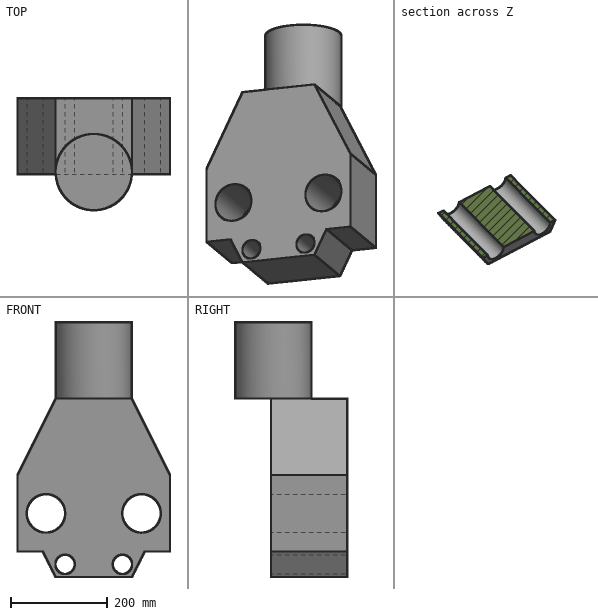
import cadquery as cq

module = 158.75
total_depth = 233.28

plate_width = 2 * module
plate_thickness = module
straight_height = module
taper_height = module
top_width = module

tail_height = module / 3
tail_root_width = plate_width * 2 / 3
tail_tip_width = module

post_diameter = module
post_height = module
post_overhang = total_depth - plate_thickness
post_center_y = post_diameter / 2 - post_overhang

large_hole_diameter = module / 2
large_hole_spacing = plate_width * 5 / 8
small_hole_diameter = module / 4
small_hole_spacing = plate_width * 3 / 8

shoulder_z = tail_height
taper_start_z = shoulder_z + straight_height
plate_top_z = taper_start_z + taper_height
large_hole_z = shoulder_z + straight_height / 2
small_hole_z = tail_height / 2


def front_plane():
    """XZ workplane on the plate's front face, Y = 0, with its normal toward -Y."""
    return cq.Workplane("XZ")


def make_plate():
    """Symmetric plate profile, extruded back from Y = 0."""
    right_side = [
        (tail_tip_width / 2, 0),
        (tail_root_width / 2, shoulder_z),
        (plate_width / 2, shoulder_z),
        (plate_width / 2, taper_start_z),
        (top_width / 2, plate_top_z),
    ]
    left_side = [(-x, z) for x, z in reversed(right_side)]
    return front_plane().polyline(right_side + left_side).close().extrude(-plate_thickness)


def make_post():
    """Round post standing on the plate's top face and overhanging its front."""
    return (
        cq.Workplane("XY", origin=(0, post_center_y, plate_top_z))
        .circle(post_diameter / 2)
        .extrude(post_height)
    )


def make_hole_pair(diameter, spacing, z):
    """Two cutters through the plate thickness, mirrored about X = 0."""
    return (
        front_plane()
        .pushPoints([(-spacing / 2, z), (spacing / 2, z)])
        .circle(diameter / 2)
        .extrude(-plate_thickness)
    )


result = (
    make_plate()
    .cut(make_hole_pair(large_hole_diameter, large_hole_spacing, large_hole_z))
    .cut(make_hole_pair(small_hole_diameter, small_hole_spacing, small_hole_z))
    .union(make_post())
)